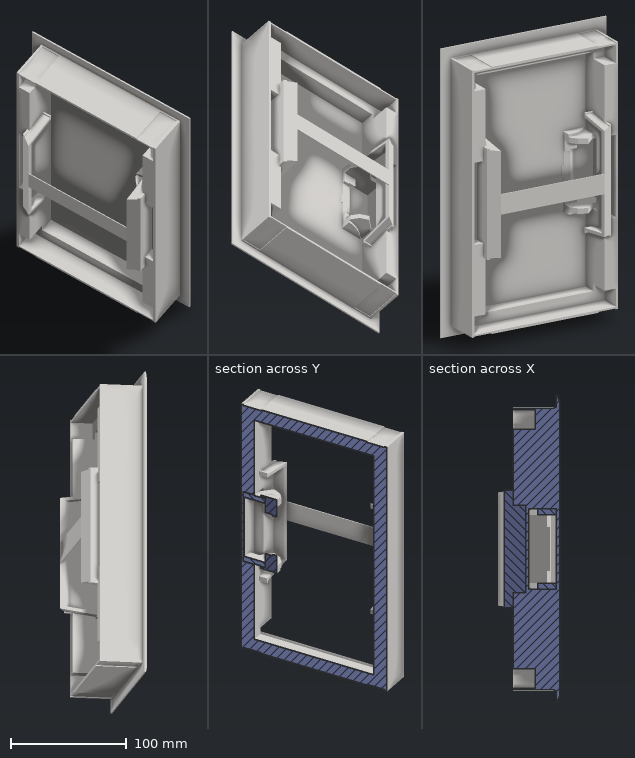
import cadquery as cq
import math


FLANGE_WIDTH = 166.0
FLANGE_HEIGHT = 266.0
FLANGE_EDGE = 1.3
BEVEL_DEPTH = 2.0
BEVEL_INSET = 6.0
BOX_WIDTH = 146.3
BOX_HEIGHT = 245.5
BOX_DEPTH = 37.2
BACK_Y = BOX_DEPTH + FLANGE_EDGE + BEVEL_DEPTH
LIP = 2.5
FLOOR_Y = 32.7
RAIL_INNER_X = 59.5
OPENING_HEIGHT = 219.7
SHELF_Y = 19.2
SHELF_HEIGHT = 16.8
POCKET_OUTER_X = BOX_WIDTH / 2 - LIP
POCKET_HALF_HEIGHT = 37.8
POCKET_DEPTH = 10.6
RELIEF_WIDTH = 17.5
RELIEF_DEPTH = 0.8
RELIEF_BACK_GAP = 1.5

OVERALL_DEPTH = 53.7
HANDLE_FRONT_Y = BACK_Y - OVERALL_DEPTH
GRIP_INNER_X = 51.5
GRIP_OUTER_X = 62.0
GRIP_SHOULDER_Y = -6.5
GRIP_BACK_Y = 21.3
GRIP_FRONT_HALF = 49.0
GRIP_BACK_HALF = 53.7
GRIP_LIP_HEIGHT = 1.3
GRIP_LIP_DEPTH = 1.5
GRIP_PLATE = 3.0
GRIP_FRONT_WALL = 4.8
FOOT_HALF_HEIGHT = 51.0
STRAP_HEIGHT = 18.5
STRAP_THICKNESS = 0.8

LATCH_LEFT_X = 37.0
LATCH_HALF_HEIGHT = 37.0
CUP_HALF_HEIGHT = 34.5
CUP_INNER_HALF = 29.5
CUP_BACK_Y = 37.2
CUP_MOUTH_Y = 13.8
CUP_WALL = 1.3
ARM_LEFT_Y = 21.8
ARM_BEND_X = 42.0
ARM_BEND_Y = 15.5
ARM_TIP_X = 50.0
ARM_TIP_Y = 11.7
ARM_RAIL_Y = 21.3
CAP_RADIUS = 27.5
CAP_FRONT_Y = 23.5
BLOCK_RIGHT_X = 49.0
BLOCK_FRONT_Y = 29.3
BLOCK_INNER_HALF = 20.5
BASE_RIGHT_X = 42.0
UNDERCUT_X = 44.7
BASE_THICKNESS = 0.8
PEG_REACH = 1.3
PEG_HALF_HEIGHT = 5.3
LEFT_STEP_HALF = 19.2
RECESS_RIGHT_X = POCKET_OUTER_X
RECESS_SLOPE_X = 50.0


def box(x0, x1, y0, y1, z0, z1):
    """Box between two corners."""
    return cq.Workplane("XY").box(x1 - x0, y1 - y0, z1 - z0, centered=False).translate((x0, y0, z0))


def prism(outline, z0, z1):
    """Upright prism over an outline of XY points."""
    return cq.Workplane("XY").workplane(offset=z0).polyline(outline).close().extrude(z1 - z0)


def with_mirror(shape, plane):
    """A shape joined to its mirror image."""
    return shape.union(shape.mirror(plane))


def flange():
    edge_back = BOX_DEPTH + FLANGE_EDGE
    edge = box(
        -FLANGE_WIDTH / 2, FLANGE_WIDTH / 2,
        BOX_DEPTH, edge_back,
        -FLANGE_HEIGHT / 2, FLANGE_HEIGHT / 2,
    )
    bevel = (
        cq.Workplane("XZ", origin=(0, edge_back, 0))
        .rect(FLANGE_WIDTH, FLANGE_HEIGHT)
        .workplane(offset=-BEVEL_DEPTH)
        .rect(FLANGE_WIDTH - 2 * BEVEL_INSET, FLANGE_HEIGHT - 2 * BEVEL_INSET)
        .loft(ruled=True)
    )
    return edge.union(bevel)


def end_shelf():
    """Pocket across the top that leaves a shelf in front of the floor."""
    top = BOX_HEIGHT / 2 - LIP
    return box(-POCKET_OUTER_X, POCKET_OUTER_X, 0, SHELF_Y, top - SHELF_HEIGHT, top)


def rail_pocket():
    """Pocket halfway up the rail on the +X side."""
    return box(RAIL_INNER_X, POCKET_OUTER_X, 0, POCKET_DEPTH, -POCKET_HALF_HEIGHT, POCKET_HALF_HEIGHT)


def wall_reliefs():
    """Shallow reliefs at both ends of the top wall."""
    top = BOX_HEIGHT / 2
    relief = box(
        POCKET_OUTER_X - RELIEF_WIDTH, POCKET_OUTER_X,
        0, BOX_DEPTH - RELIEF_BACK_GAP,
        top - RELIEF_DEPTH, top,
    )
    return with_mirror(relief, "YZ")


def latch_recess():
    """Opening in the +X rail and recess in the floor that take the latch cup."""
    outline = [
        (RAIL_INNER_X, CUP_MOUTH_Y),
        (RECESS_RIGHT_X, CUP_MOUTH_Y),
        (RECESS_RIGHT_X, CUP_BACK_Y),
        (RECESS_SLOPE_X, CUP_BACK_Y),
        (UNDERCUT_X, FLOOR_Y),
        (RAIL_INNER_X, FLOOR_Y),
    ]
    return prism(outline, -CUP_HALF_HEIGHT, CUP_HALF_HEIGHT)


def make_housing():
    walls = box(-BOX_WIDTH / 2, BOX_WIDTH / 2, 0, BOX_DEPTH, -BOX_HEIGHT / 2, BOX_HEIGHT / 2)
    opening = box(-RAIL_INNER_X, RAIL_INNER_X, 0, FLOOR_Y, -OPENING_HEIGHT / 2, OPENING_HEIGHT / 2)
    return (
        walls.union(flange())
        .cut(opening)
        .cut(with_mirror(end_shelf(), "XY"))
        .cut(with_mirror(rail_pocket(), "YZ"))
        .cut(with_mirror(wall_reliefs(), "XY"))
        .cut(latch_recess())
    )


def grip_taper(inset):
    """Tapered envelope of a grip, with its ends moved inward by an inset."""
    front = GRIP_FRONT_HALF - inset
    back = GRIP_BACK_HALF - inset
    return (
        cq.Workplane("YZ", origin=(GRIP_INNER_X, 0, 0))
        .polyline([
            (HANDLE_FRONT_Y, -front), (HANDLE_FRONT_Y, front),
            (GRIP_BACK_Y, back), (GRIP_BACK_Y, -back),
        ])
        .close()
        .extrude(GRIP_OUTER_X - GRIP_INNER_X)
    )


def grip():
    """Grip on the +X side: sloped front, end plates, foot and pocket tab."""
    slope = (GRIP_SHOULDER_Y - HANDLE_FRONT_Y) / (GRIP_OUTER_X - GRIP_INNER_X)
    rail_slope_y = HANDLE_FRONT_Y + slope * (RAIL_INNER_X - GRIP_INNER_X)
    main_outline = [
        (GRIP_INNER_X, HANDLE_FRONT_Y),
        (RAIL_INNER_X, rail_slope_y),
        (RAIL_INNER_X, GRIP_BACK_Y),
        (GRIP_INNER_X, GRIP_BACK_Y),
    ]
    cavity_outline = [
        (GRIP_INNER_X, HANDLE_FRONT_Y + GRIP_FRONT_WALL),
        (RAIL_INNER_X, rail_slope_y + GRIP_FRONT_WALL),
        (RAIL_INNER_X, GRIP_BACK_Y),
        (GRIP_INNER_X, GRIP_BACK_Y),
    ]
    foot_outline = [
        (RAIL_INNER_X, rail_slope_y),
        (GRIP_OUTER_X, GRIP_SHOULDER_Y),
        (GRIP_OUTER_X, 0),
        (RAIL_INNER_X, 0),
    ]
    main = prism(main_outline, -GRIP_BACK_HALF, GRIP_BACK_HALF).intersect(grip_taper(0))
    cavity = prism(cavity_outline, -GRIP_BACK_HALF, GRIP_BACK_HALF).intersect(grip_taper(GRIP_PLATE))
    foot = prism(foot_outline, -FOOT_HALF_HEIGHT, FOOT_HALF_HEIGHT)
    tab = box(RAIL_INNER_X, GRIP_OUTER_X, 0, POCKET_DEPTH, -POCKET_HALF_HEIGHT, POCKET_HALF_HEIGHT)
    back_lip = box(
        GRIP_INNER_X, RAIL_INNER_X,
        GRIP_BACK_Y - GRIP_LIP_DEPTH, GRIP_BACK_Y,
        GRIP_BACK_HALF - GRIP_PLATE / 2, GRIP_BACK_HALF + GRIP_LIP_HEIGHT,
    )
    return main.cut(cavity).union(foot).union(tab).union(with_mirror(back_lip, "XY"))


def make_handle():
    strap = box(
        -GRIP_INNER_X, GRIP_INNER_X,
        HANDLE_FRONT_Y, HANDLE_FRONT_Y + STRAP_THICKNESS,
        -STRAP_HEIGHT / 2, STRAP_HEIGHT / 2,
    )
    return with_mirror(grip(), "YZ").union(strap)


def latch_cap():
    """Upper end cap, its front an arc that falls back to the rail."""
    center_y = CAP_FRONT_Y + CAP_RADIUS
    end_x = LATCH_LEFT_X + math.sqrt(CAP_RADIUS**2 - (center_y - FLOOR_Y) ** 2)
    mid_x = (LATCH_LEFT_X + end_x) / 2
    mid_y = center_y - math.sqrt(CAP_RADIUS**2 - (mid_x - LATCH_LEFT_X) ** 2)
    return (
        cq.Workplane("XY", origin=(0, 0, CUP_HALF_HEIGHT))
        .moveTo(LATCH_LEFT_X, FLOOR_Y)
        .lineTo(LATCH_LEFT_X, CAP_FRONT_Y)
        .threePointArc((mid_x, mid_y), (end_x, FLOOR_Y))
        .close()
        .extrude(LATCH_HALF_HEIGHT - CUP_HALF_HEIGHT)
    )


def latch_block():
    """Upper raised block, undercut on its right side."""
    outline = [
        (LATCH_LEFT_X, FLOOR_Y),
        (LATCH_LEFT_X, BLOCK_FRONT_Y),
        (BLOCK_RIGHT_X, BLOCK_FRONT_Y),
        (UNDERCUT_X, FLOOR_Y),
    ]
    left_step = box(
        LATCH_LEFT_X, BASE_RIGHT_X,
        BLOCK_FRONT_Y, FLOOR_Y,
        LEFT_STEP_HALF, BLOCK_INNER_HALF,
    )
    return prism(outline, BLOCK_INNER_HALF, CUP_HALF_HEIGHT).union(left_step)


def make_latch_plate():
    base = box(
        LATCH_LEFT_X, BASE_RIGHT_X,
        FLOOR_Y - BASE_THICKNESS, FLOOR_Y,
        -LATCH_HALF_HEIGHT, LATCH_HALF_HEIGHT,
    )
    upper = latch_cap().union(latch_block())
    peg = box(
        LATCH_LEFT_X - PEG_REACH, LATCH_LEFT_X,
        FLOOR_Y - BASE_THICKNESS, FLOOR_Y,
        -PEG_HALF_HEIGHT, PEG_HALF_HEIGHT,
    )
    return base.union(peg).union(with_mirror(upper, "XY"))


def make_latch_cup():
    arm_outline = [
        (LATCH_LEFT_X, BLOCK_FRONT_Y),
        (LATCH_LEFT_X, ARM_LEFT_Y),
        (ARM_BEND_X, ARM_BEND_Y),
        (ARM_TIP_X, ARM_TIP_Y),
        (RAIL_INNER_X, ARM_RAIL_Y),
        (RECESS_RIGHT_X, ARM_RAIL_Y),
        (RECESS_RIGHT_X, CUP_BACK_Y),
        (RECESS_SLOPE_X, CUP_BACK_Y),
        (UNDERCUT_X, FLOOR_Y),
        (BLOCK_RIGHT_X, BLOCK_FRONT_Y),
    ]
    arm = prism(arm_outline, CUP_INNER_HALF, CUP_HALF_HEIGHT)
    wall = box(
        RECESS_RIGHT_X - CUP_WALL, RECESS_RIGHT_X,
        CUP_MOUTH_Y, CUP_BACK_Y,
        -CUP_HALF_HEIGHT, CUP_HALF_HEIGHT,
    )
    return with_mirror(arm, "XY").union(wall)


housing = make_housing()
handle = make_handle()
latch_plate = make_latch_plate()
latch_cup = make_latch_cup()

result = cq.Compound.makeCompound([housing.val(), handle.val(), latch_plate.val(), latch_cup.val()])